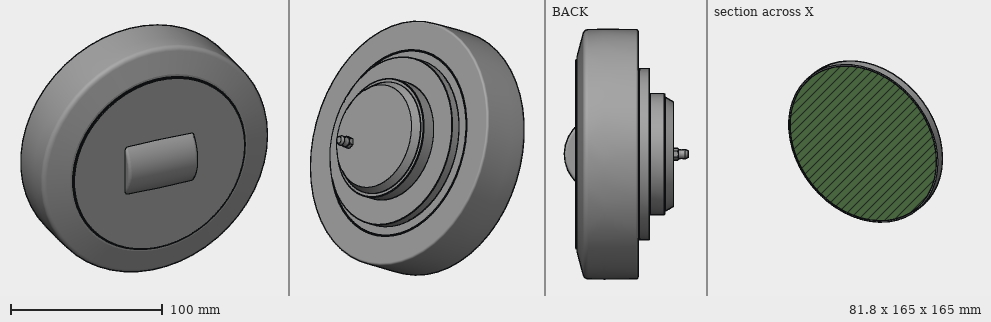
import cadquery as cq
import math


wheel_diameter = 165.0
tread_crown = 0.25
wheel_width = 40.5
tread_end = 32.8
inner_rounding = 1.5
outer_rounding = 3.6
shoulder_angle = 15.0

core_diameter = 124.7
core_protrusion = 1.0
core_chamfer = 0.5
bore_edge_diameter = 125.7

flange_diameter = 113.0
flange_neck_diameter = 110.9
flange_neck_length = 0.8
flange_height = 7.5
collar_diameter = 80.0
collar_length = 10.0
collar_chamfer = 0.5
flange_chamfer = 0.3
cap_diameter = 75.0
cap_rim_length = 0.5
cap_taper_length = 5.3
cap_taper_angle = 30.0

roller_radius = 25.4
roller_length = 50.3
roller_rounding = 2.0
roller_crown = 0.3
roller_reach = 48.8

nipple_offset = 23.0
nipple_length = 9.7
hex_across_flats = 7.0
hex_length = 3.1
hex_chamfer = 0.5
nipple_tip_diameter = 4.5
nipple_head_diameter = 6.5
nipple_neck_diameter = 5.8
nipple_tip_taper = 2.1
nipple_head_taper = 2.5

collar_face = -flange_height - collar_length
cap_face = collar_face - cap_rim_length - cap_taper_length
nipple_tip = cap_face - nipple_length


def cylinder(diameter, x_start, x_end):
    """Solid cylinder about the X axis."""
    return cq.Workplane("YZ", origin=(x_start, 0, 0)).circle(diameter / 2).extrude(x_end - x_start)


def spin(profile):
    """Turn a closed (x, radius) profile about the X axis."""
    return profile.close().revolve(360, (0, 0, 0), (1, 0, 0))


def make_wheel():
    crest = wheel_diameter / 2
    tread_edge = crest - tread_crown
    turn = math.radians(90 - shoulder_angle)
    half_turn = turn / 2
    arc_mid = (
        tread_end + outer_rounding * math.sin(half_turn),
        tread_edge - outer_rounding * (1 - math.cos(half_turn)),
    )
    arc_end = (
        tread_end + outer_rounding * math.sin(turn),
        tread_edge - outer_rounding * (1 - math.cos(turn)),
    )
    shoulder_drop = (wheel_width - arc_end[0]) / math.tan(math.radians(shoulder_angle))
    inner_arc_mid = inner_rounding * (1 - math.sqrt(0.5))
    profile = (
        cq.Workplane("XY")
        .lineTo(0, tread_edge - inner_rounding)
        .threePointArc((inner_arc_mid, tread_edge - inner_arc_mid), (inner_rounding, tread_edge))
        .threePointArc(((inner_rounding + tread_end) / 2, crest), (tread_end, tread_edge))
        .threePointArc(arc_mid, arc_end)
        .lineTo(wheel_width, arc_end[1] - shoulder_drop)
        .lineTo(wheel_width, 0)
    )
    return spin(profile)


def make_core():
    core = cylinder(core_diameter, 0, wheel_width + core_protrusion)
    return core.faces("<X or >X").chamfer(core_chamfer)


def make_bore():
    """Opening for the core, chamfered at both wheel faces."""
    core_radius = core_diameter / 2
    edge_radius = bore_edge_diameter / 2
    chamfer = edge_radius - core_radius
    profile = (
        cq.Workplane("XY")
        .lineTo(0, edge_radius)
        .lineTo(chamfer, core_radius)
        .lineTo(wheel_width - chamfer, core_radius)
        .lineTo(wheel_width, edge_radius)
        .lineTo(wheel_width, 0)
    )
    return spin(profile)


def make_hub():
    cap_drop = cap_taper_length * math.tan(math.radians(cap_taper_angle))
    neck = cylinder(flange_neck_diameter, -flange_neck_length, 0)
    flange = cylinder(flange_diameter, -flange_height, -flange_neck_length)
    flange = flange.faces("<X").chamfer(flange_chamfer)
    collar = cylinder(collar_diameter, collar_face, -flange_height)
    collar = collar.faces("<X or >X").chamfer(collar_chamfer)
    cap = cylinder(cap_diameter, cap_face, collar_face)
    cap = cap.faces("<X").chamfer(cap_taper_length, cap_drop)
    return neck.union(flange).union(collar).union(cap)


def make_roller():
    half_length = roller_length / 2
    edge_radius = roller_radius - roller_crown
    roller = (
        cq.Workplane("XY")
        .moveTo(0, -half_length)
        .lineTo(edge_radius, -half_length)
        .threePointArc((roller_radius, 0), (edge_radius, half_length))
        .lineTo(0, half_length)
        .close()
        .revolve(360, (0, 0, 0), (0, 1, 0))
        .faces("<Y or >Y")
        .edges()
        .fillet(roller_rounding)
        .translate((roller_reach - roller_radius, 0, 0))
    )
    return roller.intersect(cylinder(core_diameter, wheel_width, roller_reach + roller_radius))


def make_nipple():
    hex_face = cap_face - hex_length
    hex_corners = hex_across_flats / math.cos(math.pi / 6)
    hexagon = (
        cq.Workplane("YZ", origin=(hex_face, 0, 0))
        .transformed(rotate=(0, 0, 90))
        .polygon(6, hex_corners)
        .extrude(hex_length)
    )
    hexagon = hexagon.intersect(cylinder(hex_corners, hex_face, cap_face).faces("<X").chamfer(hex_chamfer))
    head_start = nipple_tip + nipple_tip_taper
    stem_profile = (
        cq.Workplane("XY")
        .moveTo(nipple_tip, 0)
        .lineTo(nipple_tip, nipple_tip_diameter / 2)
        .lineTo(head_start, nipple_head_diameter / 2)
        .lineTo(head_start + nipple_head_taper, nipple_neck_diameter / 2)
        .lineTo(hex_face, nipple_head_diameter / 2)
        .lineTo(hex_face, 0)
    )
    return hexagon.union(spin(stem_profile)).translate((0, nipple_offset, 0))


result = (
    make_wheel()
    .cut(make_bore())
    .union(make_core())
    .union(make_hub())
    .union(make_roller())
    .union(make_nipple())
)